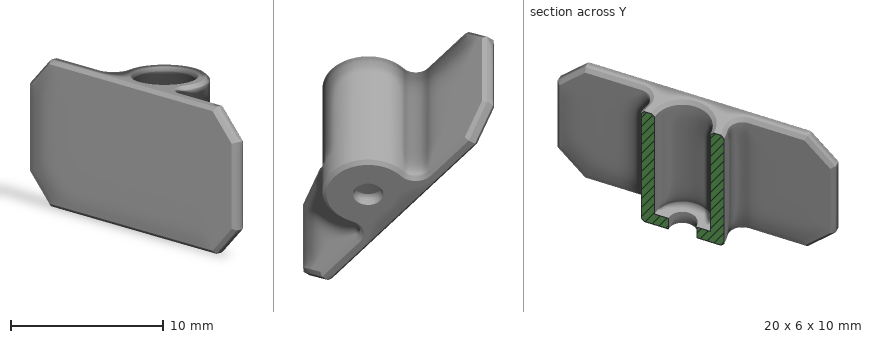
import cadquery as cq
import math

length = 20
height = 10
thickness = 1
corner_cut = 2
chamfer = thickness / 4

boss_radius = 3
boss_y = 3
blend_radius = 1
bore_radius = 2
hole_radius = 1
floor_thickness = 1

blend_y = thickness + blend_radius
blend_x = math.sqrt((boss_radius + blend_radius) ** 2 - (boss_y - blend_y) ** 2)
tangent_ratio = boss_radius / (boss_radius + blend_radius)
tangent_x = blend_x * tangent_ratio
tangent_y = boss_y + (blend_y - boss_y) * tangent_ratio


def blend_middle():
    """Point halfway along the right-hand blend arc."""
    boss_direction = math.atan2(tangent_y - blend_y, tangent_x - blend_x)
    plate_direction = 3 * math.pi / 2
    angle = (boss_direction + plate_direction) / 2
    return blend_x + blend_radius * math.cos(angle), blend_y + blend_radius * math.sin(angle)


def make_body():
    """Plate and boss as one extrusion, trimmed to an octagonal plate outline."""
    middle_x, middle_y = blend_middle()
    profile = (
        cq.Workplane("XY", origin=(0, 0, -height / 2))
        .moveTo(-length / 2, 0)
        .lineTo(length / 2, 0)
        .lineTo(length / 2, thickness)
        .lineTo(blend_x, thickness)
        .threePointArc((middle_x, middle_y), (tangent_x, tangent_y))
        .threePointArc((0, boss_y + boss_radius), (-tangent_x, tangent_y))
        .threePointArc((-middle_x, middle_y), (-blend_x, thickness))
        .lineTo(-length / 2, thickness)
        .close()
        .extrude(height)
    )
    outline = (
        cq.Workplane("XZ")
        .rect(length, height)
        .extrude(-(boss_y + boss_radius))
        .edges("|Y")
        .chamfer(corner_cut)
    )
    return profile.intersect(outline)


def chamfer_outer_edges(body):
    """Bevel the plate's front and back rims and both ends of the boss and blends."""
    end_rims = body.faces("<Z or >Z").edges("not |Y")
    side_rims = body.faces("<X or >X").edges("|Z")
    corner_rims = body.edges("not(|X or |Y or |Z)").edges("%LINE")
    return end_rims.add(side_rims).add(corner_rims).chamfer(chamfer)


def cut_bore(body):
    """Blind bore with a bevelled mouth and a smaller through hole in its floor."""
    top = height / 2
    bore_floor = -top + floor_thickness
    bore = cq.Solid.makeCylinder(bore_radius, top - bore_floor, cq.Vector(0, boss_y, bore_floor))
    mouth = cq.Solid.makeCone(
        bore_radius, bore_radius + chamfer, chamfer, cq.Vector(0, boss_y, top - chamfer)
    )
    hole = cq.Solid.makeCylinder(hole_radius, height, cq.Vector(0, boss_y, -top))
    return body.cut(cq.Workplane(bore)).cut(cq.Workplane(mouth)).cut(cq.Workplane(hole))


result = cut_bore(chamfer_outer_edges(make_body()))